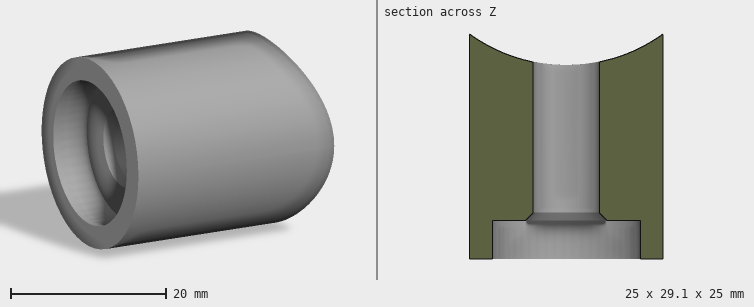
import cadquery as cq

body_diameter = 25.0
centre_length = 25.0
tube_diameter = 42.4
recess_diameter = 19.0
recess_depth = 5.0
hole_diameter = 8.5
hole_chamfer = 1.0

tube_radius = tube_diameter / 2
tube_axis_y = centre_length + tube_radius
stock_length = tube_axis_y
chamfer_diameter = hole_diameter + 2 * hole_chamfer


def rod_along_y(diameter, start_y, length):
    """Round bar on the Y axis, from start_y toward +Y."""
    plane = cq.Workplane("XZ", origin=(0, start_y, 0))
    return plane.circle(diameter / 2).extrude(-length)


def saddle_tube():
    """Vertical cylinder that shapes the concave +Y end."""
    blank = cq.Workplane("XY", origin=(0, tube_axis_y, 0))
    return blank.circle(tube_radius).extrude(body_diameter, both=True)


def hole_countersink():
    """Cone that breaks the hole edge on the recess floor."""
    cone = cq.Solid.makeCone(
        chamfer_diameter / 2,
        hole_diameter / 2,
        hole_chamfer,
        pnt=cq.Vector(0, recess_depth, 0),
        dir=cq.Vector(0, 1, 0),
    )
    return cq.Workplane("XY").add(cone)


body = rod_along_y(body_diameter, 0, stock_length).cut(saddle_tube())

body = body.cut(rod_along_y(recess_diameter, 0, recess_depth))
body = body.cut(rod_along_y(hole_diameter, 0, stock_length))
result = body.cut(hole_countersink())